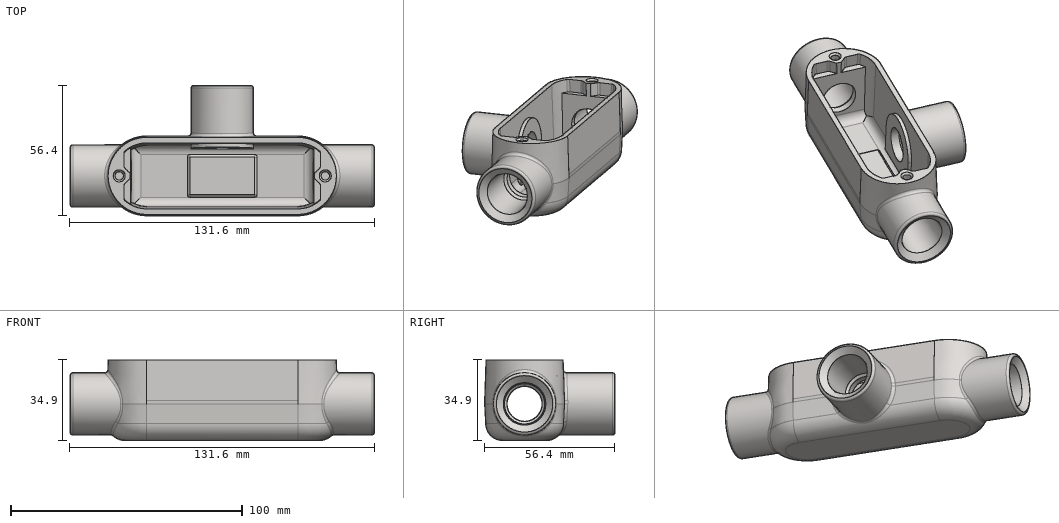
import cadquery as cq
import math


overall_length = 131.64
side_hub_end = 39.12
rim_z = 19.05
bottom_z = -15.87

end_center_x = 32.7
parting_radius = 17.3
rim_radius = 16.7
side_crease_z = 1.5
bottom_fillet = 7.4
lower_half_width = 16.85

cavity_rim_half_width = 14.3
cavity_floor_half_width = 13.1
floor_z = -13.2
floor_fillet = 4.0
end_wall_x_top = 39.9
end_wall_x_bottom = 39.2
shelf_z = 13.4
pocket_end_x = 42.6
pocket_corner_fillet = 1.5

screw_x = 44.6
screw_hole_diameter = 3.6
countersink_diameter = 5.2
countersink_angle = 90
screw_hole_depth = 8.0
screw_boss_tip_x = 39.6
screw_boss_tip_half_width = 0.8
screw_boss_base_half_width = 3.8
screw_boss_fillet = 1.5

hub_diameter = 26.98
hub_lip_fillet = 1.1
hub_root_fillet = 1.4
hub_root_overlap = 3.5
throat_diameter = 15.11
mouth_radius = 12.2
mouth_depth = 2.5
bore_outer_radius = 9.2
bore_inner_radius = 8.7
throat_lead_in = 1.0
end_throat_length = 2.8
side_throat_length = 3.6

hub_pad_radius = 13.6
hub_pad_face_y = 12.0
hub_pad_draft = 2.0
hub_pad_thickness = 2.5
floor_pad_length = 30.2
floor_pad_width = 18.5
floor_pad_height = 1.2
floor_pad_chamfer = 1.1
floor_pad_corner_radius = 1.2

overlap = 1.0

hub_radius = hub_diameter / 2
throat_radius = throat_diameter / 2
end_hub_mouth = overall_length / 2


def half_section(plane, crease_z=0):
    """Right half of the outer section, from the floor round the bottom corner to the rim."""
    corner_center_y = lower_half_width - bottom_fillet
    corner_center_z = bottom_z + bottom_fillet
    diagonal = bottom_fillet * math.sqrt(0.5)
    section = (
        cq.Workplane(plane)
        .moveTo(0, bottom_z)
        .lineTo(corner_center_y, bottom_z)
        .threePointArc(
            (corner_center_y + diagonal, corner_center_z - diagonal),
            (lower_half_width, corner_center_z),
        )
        .lineTo(parting_radius, 0)
    )
    if crease_z > 0:
        section = section.lineTo(parting_radius, crease_z)
    return section.lineTo(rim_radius, rim_z).lineTo(0, rim_z).close()


def make_box():
    """Straight middle prism with the same section revolved around each end centre."""
    half_prism = half_section("YZ", side_crease_z).extrude(end_center_x, both=True)
    box = half_prism.union(half_prism.mirror("XZ"))
    round_end = half_section("XZ").revolve(360, (0, 0, 0), (0, 1, 0))
    right_end = round_end.translate((end_center_x, 0, 0))
    return box.union(right_end).union(right_end.rotate((0, 0, 0), (0, 0, 1), 180))


def stadium(half_width, z):
    """Stadium outline sharing the end centres of the outer box."""
    return cq.Workplane("XY").workplane(offset=z).slot2D(2 * (end_center_x + half_width), 2 * half_width)


def taper_angle(run, height):
    return math.degrees(math.atan(run / height))


def along_hub(shape, direction):
    """Turn a shape built along +X toward the hub direction, an angle about Z in degrees."""
    return shape.rotate((0, 0, 0), (0, 0, 1), direction)


def make_hub(mouth, root, direction):
    hub = cq.Workplane("YZ").workplane(offset=root).circle(hub_radius).extrude(mouth - root)
    hub = hub.faces(">X").edges().fillet(hub_lip_fillet)
    return along_hub(hub, direction)


def make_hub_bore(mouth, throat_start, throat_length, direction):
    """Flared mouth, slightly tapered bore and a narrower throat opening into the cavity."""
    throat_end = throat_start + throat_length
    bore = (
        cq.Workplane("XY")
        .moveTo(throat_start - overlap, 0)
        .lineTo(throat_start - overlap, throat_radius)
        .lineTo(throat_end, throat_radius)
        .lineTo(throat_end + throat_lead_in, bore_inner_radius)
        .lineTo(mouth - mouth_depth, bore_outer_radius)
        .lineTo(mouth, mouth_radius)
        .lineTo(mouth, 0)
        .close()
        .revolve(360, (0, 0, 0), (1, 0, 0))
    )
    return along_hub(bore, direction)


def trough(plane, half_top, half_bottom, half_length):
    """Prism with drafted sides and rounded lower corners, symmetric about the plane."""
    profile = (
        cq.Workplane(plane)
        .moveTo(-half_bottom, floor_z)
        .lineTo(half_bottom, floor_z)
        .lineTo(half_top, rim_z)
        .lineTo(-half_top, rim_z)
        .close()
        .extrude(half_length, both=True)
    )
    along = {"XZ": "|Y", "YZ": "|X"}[plane]
    return profile.edges(along).edges("<Z").fillet(floor_fillet)


def make_cavity():
    """Drafted cavity with a shallow pocket under the rim, reaching past the end walls."""
    cavity_depth = rim_z - floor_z
    draft = taper_angle(cavity_rim_half_width - cavity_floor_half_width, cavity_depth)
    envelope = stadium(cavity_rim_half_width, rim_z).extrude(-cavity_depth, taper=draft)
    across = trough("YZ", cavity_rim_half_width, cavity_floor_half_width, overall_length / 2)
    along = trough("XZ", end_wall_x_top, end_wall_x_bottom, parting_radius)
    lower = envelope.intersect(across).intersect(along)

    pocket = cq.Workplane("XY").workplane(offset=shelf_z)
    pocket = pocket.rect(2 * pocket_end_x, 2 * parting_radius).extrude(rim_z - shelf_z)
    pocket = pocket.intersect(envelope)
    pocket = pocket.faces(">X or <X").edges("not |Y").fillet(pocket_corner_fillet)
    for side in (-1, 1):
        pocket = pocket.cut(make_screw_boss(side))
    pocket = pocket.edges("|Z").fillet(screw_boss_fillet)
    return lower.union(pocket)


def make_screw_boss(side):
    """Tapered nose left standing in the pocket around a cover screw."""
    return (
        cq.Workplane("XY")
        .workplane(offset=shelf_z)
        .moveTo(side * screw_boss_tip_x, -screw_boss_tip_half_width)
        .lineTo(side * screw_boss_tip_x, screw_boss_tip_half_width)
        .lineTo(side * pocket_end_x, screw_boss_base_half_width)
        .lineTo(side * pocket_end_x, -screw_boss_base_half_width)
        .close()
        .extrude(rim_z - shelf_z)
    )


def make_hub_pad():
    """Arched pad around the side hub throat, running straight down to the floor."""
    pad = (
        cq.Workplane("XZ")
        .moveTo(-hub_pad_radius, floor_z)
        .lineTo(-hub_pad_radius, 0)
        .threePointArc((0, hub_pad_radius), (hub_pad_radius, 0))
        .lineTo(hub_pad_radius, floor_z)
        .close()
        .extrude(-hub_pad_thickness)
    )
    return pad.rotate((0, 0, 0), (1, 0, 0), -hub_pad_draft).translate((0, hub_pad_face_y, 0))


def make_floor_pad():
    """Raised rectangular pad with bevelled sides in the middle of the floor."""
    pad = cq.Workplane("XY").workplane(offset=floor_z - overlap)
    pad = pad.rect(floor_pad_length, floor_pad_width).extrude(floor_pad_height + overlap)
    return pad.edges("|Z").fillet(floor_pad_corner_radius).faces(">Z").edges().chamfer(floor_pad_chamfer)


hubs = [
    (end_hub_mouth, end_wall_x_top, end_throat_length, 0),
    (end_hub_mouth, end_wall_x_top, end_throat_length, 180),
    (side_hub_end, hub_pad_face_y, side_throat_length, 90),
]

body = make_box()
for mouth, throat_start, throat_length, direction in hubs:
    body = body.union(make_hub(mouth, throat_start - hub_root_overlap, direction))

root_edges = [edge for edge in body.edges().vals() if edge.geomType() in ("ELLIPSE", "BSPLINE")]
body = body.newObject(root_edges).fillet(hub_root_fillet)

body = body.cut(make_cavity()).union(make_hub_pad()).union(make_floor_pad())
for hub in hubs:
    body = body.cut(make_hub_bore(*hub))
result = (
    body.faces(">Z")
    .workplane(origin=(0, 0, rim_z))
    .pushPoints([(-screw_x, 0), (screw_x, 0)])
    .cskHole(screw_hole_diameter, countersink_diameter, countersink_angle, screw_hole_depth)
)